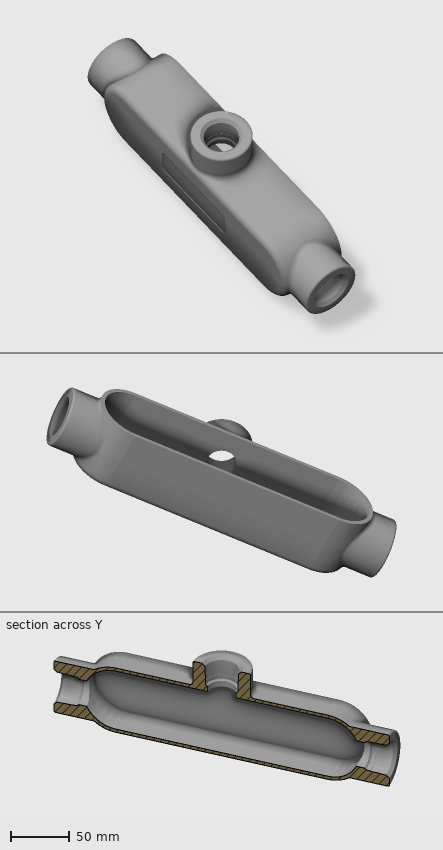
import cadquery as cq
import math

overall_length = 311.0
body_depth = 60.5
overall_height = 92.0

end_radius = 33.5
end_center_x = 98.0
draft_angle = 1.5
front_edge_radius = 6.5
wall_thickness = 3.7
half_depth = body_depth / 2

hub_diameter = 53.8
hub_rim_radius = 2.0
hub_root_radius = 3.0
edge_tolerance = 0.05
root_sample_positions = (0, 0.3, 0.6)
end_hub_reach = overall_length / 2
top_hub_reach = overall_height - end_radius

mouth_diameter = 36.7
thread_start_diameter = 30.8
thread_end_diameter = 30.0
relief_diameter = 29.2
throat_diameter = 25.8
lead_in_depth = 3.0
thread_end_depth = 17.7
relief_depth = 21.8
lip_depth = 23.0

plate_length = 90.0
plate_height = 25.8
plate_corner_radius = 4.7
plate_recess = 1.0

hubs = [
    (cq.Vector(-1, 0, 0), end_hub_reach),
    (cq.Vector(1, 0, 0), end_hub_reach),
    (cq.Vector(0, 0, 1), top_hub_reach),
]


def make_obround(radius, front_y):
    """Obround block from front_y to the open back face, drafted both ways from y = 0."""
    slope = math.tan(math.radians(draft_angle))
    front_radius = radius + front_y * slope
    back_radius = radius - half_depth * slope
    half_section = [
        (0, front_y),
        (front_radius, front_y),
        (radius, 0),
        (back_radius, half_depth),
        (0, half_depth),
    ]
    right_end = cq.Workplane("XY").polyline(half_section).close().revolve(360, (0, 0), (0, 1))
    right_end = right_end.translate((end_center_x, 0, 0))
    left_end = right_end.mirror("YZ")

    upper_edge = [(y, z) for z, y in half_section[1:-1]]
    lower_edge = [(y, -z) for y, z in reversed(upper_edge)]
    middle = cq.Workplane("YZ", origin=(-end_center_x, 0, 0)).polyline(upper_edge + lower_edge)
    middle = middle.close().extrude(2 * end_center_x)
    return middle.union(right_end).union(left_end)


def make_body():
    block = make_obround(end_radius, -half_depth)
    return block.faces("<Y").edges().fillet(front_edge_radius)


def make_cavity():
    """Inside of the housing, open at the back face."""
    return make_obround(end_radius - wall_thickness, wall_thickness - half_depth)


def make_hub(direction, reach):
    """Solid hub from the origin out to its face, with a rounded rim."""
    base = cq.Plane(origin=(0, 0, 0), xDir=(0, 1, 0), normal=direction)
    hub = cq.Workplane(base).circle(hub_diameter / 2).extrude(reach)
    rim = hub.faces(cq.selectors.DirectionMinMaxSelector(direction)).edges()
    return rim.fillet(hub_rim_radius)


def make_bore(direction, reach):
    """Material to remove inside a hub, turned about the hub axis."""
    profile = [
        (0, reach),
        (mouth_diameter / 2, reach),
        (thread_start_diameter / 2, reach - lead_in_depth),
        (thread_end_diameter / 2, reach - thread_end_depth),
        (relief_diameter / 2, reach - thread_end_depth),
        (relief_diameter / 2, reach - relief_depth),
        (throat_diameter / 2, reach - lip_depth),
        (throat_diameter / 2, 0),
        (0, 0),
    ]
    across = cq.Vector(0, 1, 0)
    plane = cq.Plane(origin=(0, 0, 0), xDir=across, normal=across.cross(direction))
    return cq.Workplane(plane).polyline(profile).close().revolve(360, (0, 0), (0, 1))


def is_hub_root(edge, direction, reach):
    """True for an edge where the side of the hub meets the body, not for its rim or seam."""
    for position in root_sample_positions:
        point = edge.positionAt(position)
        along = point.dot(direction)
        off_axis = (point - direction * along).Length
        on_hub_side = abs(off_axis - hub_diameter / 2) < edge_tolerance
        if not on_hub_side or along > reach - 2 * hub_rim_radius:
            return False
    return edge.geomType() != "LINE"


def add_hub(body, direction, reach):
    joined = body.union(make_hub(direction, reach))
    root = [edge for edge in joined.edges().vals() if is_hub_root(edge, direction, reach)]
    return joined.newObject(root).fillet(hub_root_radius)


def make_plate_recess():
    plate = cq.Workplane("XZ", origin=(0, -half_depth, 0)).rect(plate_length, plate_height)
    return plate.extrude(-plate_recess).edges("|Y").fillet(plate_corner_radius)


result = make_body()
for direction, reach in hubs:
    result = add_hub(result, direction, reach)
result = result.cut(make_cavity())
for direction, reach in hubs:
    result = result.cut(make_bore(direction, reach))
result = result.cut(make_plate_recess())